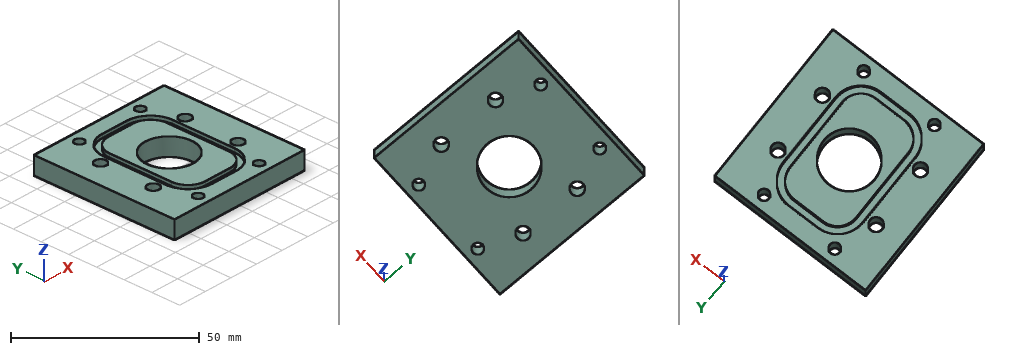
import cadquery as cq

plate_side = 50.8
plate_thickness = 6.35

bore_diameter = 17.17

island_width = 22.33
island_length = 35.05
island_corner_radius = 6.35
groove_width = 2.2
groove_depth = 1.32

side_hole_diameter = 4.05
side_hole_spacing_x = 33.02
side_hole_spacing_y = 19.05

end_hole_diameter = 3.3
end_hole_spacing_x = 23.81
end_hole_spacing_y = 42.86


def rounded_block(width, length, height, corner_radius):
    """Centred block standing on Z = 0 with rounded vertical edges."""
    block = cq.Workplane("XY").rect(width, length).extrude(height)
    return block.edges("|Z").fillet(corner_radius)


def seal_groove():
    """Ring of constant width that surrounds the central island."""
    outer = rounded_block(
        island_width + 2 * groove_width,
        island_length + 2 * groove_width,
        groove_depth,
        island_corner_radius + groove_width,
    )
    island = rounded_block(island_width, island_length, groove_depth, island_corner_radius)
    groove_floor = plate_thickness - groove_depth
    return outer.cut(island).translate((0, 0, groove_floor))


def drill_rectangle(body, spacing_x, spacing_y, diameter):
    """Drill a through hole at each corner of a centred rectangle."""
    top = body.faces(">Z").workplane()
    corners = top.rect(spacing_x, spacing_y, forConstruction=True).vertices()
    return corners.hole(diameter)


plate = cq.Workplane("XY").rect(plate_side, plate_side).extrude(plate_thickness)
plate = plate.faces(">Z").workplane().hole(bore_diameter)
plate = drill_rectangle(plate, side_hole_spacing_x, side_hole_spacing_y, side_hole_diameter)
plate = drill_rectangle(plate, end_hole_spacing_x, end_hole_spacing_y, end_hole_diameter)
result = plate.cut(seal_groove())